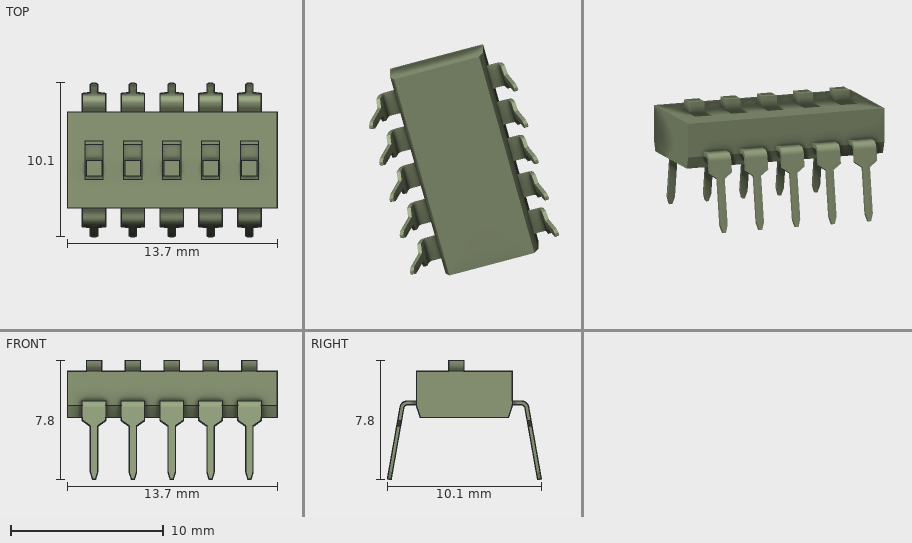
import cadquery as cq
import math

body_length = 13.74
body_width = 6.29
body_height = 3.05
bevel_height = 0.8
bevel_inset = 0.26

switch_count = 5
pitch = 2.54
row_offset = -0.04
switch_xs = [row_offset + (i - (switch_count - 1) / 2) * pitch for i in range(switch_count)]

slot_width = 1.2
slot_length = 2.5
slot_center_y = -0.01
shelf_depth = 0.1
channel_length = 2.03
channel_depth = 0.26

slider_size = 1.02
slider_rise = 0.7

overall_width = 10.09
overall_height = 7.8
lead_width = 1.55
lead_thickness = 0.26
lead_top_z = -1.95
bend_outer_radius = 0.5
bend_angle = 80.0
lead_embed = 0.14

shoulder_z = -3.2
neck_z = -3.57
taper_z = -6.57
pin_width = 0.5
tip_width = 0.19

slope = math.radians(bend_angle)
slope_sin = math.sin(slope)
slope_cos = math.cos(slope)
bend_end_z = lead_top_z - bend_outer_radius * (1 - slope_cos)
tip_outer_z = slider_rise - overall_height + lead_thickness * slope_cos
blade_length = (bend_end_z - tip_outer_z) / slope_sin
bend_end_y = overall_width / 2 - blade_length * slope_cos
bend_start_y = bend_end_y - bend_outer_radius * slope_sin


def make_body():
    half = body_width / 2
    return (
        cq.Workplane("YZ")
        .moveTo(-half, 0)
        .lineTo(half, 0)
        .lineTo(half, bevel_height - body_height)
        .lineTo(half - bevel_inset, -body_height)
        .lineTo(bevel_inset - half, -body_height)
        .lineTo(-half, bevel_height - body_height)
        .close()
        .extrude(body_length / 2, both=True)
    )


def make_pocket(x, length, depth):
    return (
        cq.Workplane("XY", origin=(x, slot_center_y, 0))
        .rect(slot_width, length)
        .extrude(-depth)
    )


def make_slider(x):
    center_y = slot_center_y - (channel_length - slider_size) / 2
    return (
        cq.Workplane("XY", origin=(x, center_y, -channel_depth))
        .rect(slider_size, slider_size)
        .extrude(channel_depth + slider_rise)
    )


def make_lead_bend():
    """Horizontal strip and rounded bend of a lead on the +Y side, centred on X = 0."""
    inner_radius = bend_outer_radius - lead_thickness
    center_z = lead_top_z - bend_outer_radius

    def on_bend(radius, angle):
        return (bend_start_y + radius * math.sin(angle), center_z + radius * math.cos(angle))

    root_y = body_width / 2 - lead_embed
    return (
        cq.Workplane("YZ")
        .moveTo(root_y, lead_top_z)
        .lineTo(*on_bend(bend_outer_radius, 0))
        .threePointArc(on_bend(bend_outer_radius, slope / 2), on_bend(bend_outer_radius, slope))
        .lineTo(*on_bend(inner_radius, slope))
        .threePointArc(on_bend(inner_radius, slope / 2), on_bend(inner_radius, 0))
        .lineTo(root_y, lead_top_z - lead_thickness)
        .close()
        .extrude(lead_width / 2, both=True)
    )


def make_lead_blade():
    """Sloping flat part of the lead: wide shoulder, narrow pin and tapered tip."""

    def along(z):
        return (z - bend_end_z) / slope_sin

    outer_face = cq.Plane(
        origin=(0, bend_end_y, bend_end_z),
        xDir=(-1, 0, 0),
        normal=(0, slope_sin, slope_cos),
    )
    return (
        cq.Workplane(outer_face)
        .moveTo(-lead_width / 2, 0)
        .lineTo(-lead_width / 2, along(shoulder_z))
        .lineTo(-pin_width / 2, along(neck_z))
        .lineTo(-pin_width / 2, along(taper_z))
        .lineTo(-tip_width / 2, -blade_length)
        .lineTo(tip_width / 2, -blade_length)
        .lineTo(pin_width / 2, along(taper_z))
        .lineTo(pin_width / 2, along(neck_z))
        .lineTo(lead_width / 2, along(shoulder_z))
        .lineTo(lead_width / 2, 0)
        .close()
        .extrude(-lead_thickness)
    )


back_lead = make_lead_bend().union(make_lead_blade())
front_lead = back_lead.mirror("XZ")

result = make_body()
for switch_x in switch_xs:
    result = result.cut(make_pocket(switch_x, slot_length, shelf_depth))
    result = result.cut(make_pocket(switch_x, channel_length, channel_depth))
    result = result.union(make_slider(switch_x))
    for lead in (back_lead, front_lead):
        result = result.union(lead.translate((switch_x, 0, 0)))